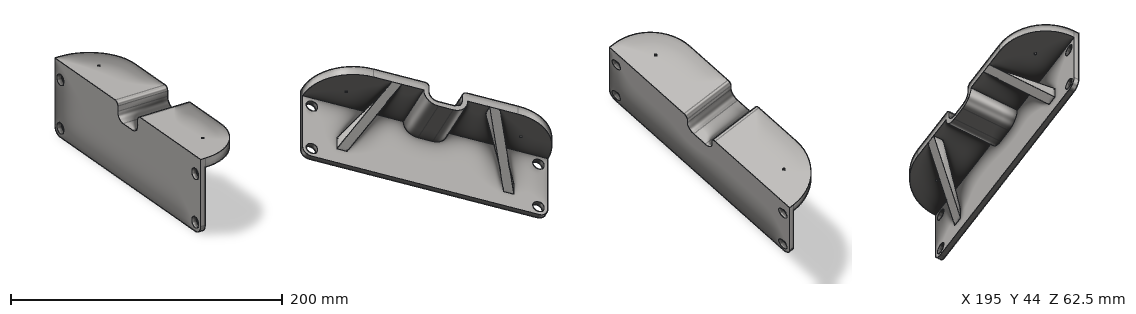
import cadquery as cq

length = 195.0
depth = 44.0
height = 62.5
wall_thickness = 4.0
shelf_thickness = 7.6
shelf_corner_radius = depth - wall_thickness
plate_corner_radius = 7.0

screw_hole_diameter = 9.0
screw_hole_inset = 7.5
upper_hole_drop = 15.0

pilot_hole_diameter = 1.8
pilot_hole_spacing = 138.8
pilot_hole_y = 20.3

channel_width = 26.5
channel_depth = 15.0
channel_floor_radius = 7.0
channel_lip_radius = 3.5
trough_wall = 4.3
trough_corner_radius = channel_depth + trough_wall - shelf_thickness

strut_width = 8.2
strut_top_x = 39.0
strut_top_length = 8.2
strut_foot_x = 66.3
strut_foot_height = 10.1
strut_foot_z = -44.5


def make_wall_plate():
    return (
        cq.Workplane("XY")
        .box(length, wall_thickness, height, centered=(True, False, False))
        .translate((0, 0, -height))
        .edges("|Y and <Z")
        .fillet(plate_corner_radius)
    )


def make_shelf():
    return (
        cq.Workplane("XY")
        .box(length, depth, shelf_thickness, centered=(True, False, False))
        .translate((0, 0, -shelf_thickness))
        .edges("|Z and >Y")
        .fillet(shelf_corner_radius)
    )


def make_trough():
    return (
        cq.Workplane("XY")
        .box(
            channel_width + 2 * trough_wall,
            depth,
            channel_depth + trough_wall,
            centered=(True, False, False),
        )
        .translate((0, 0, -channel_depth - trough_wall))
        .edges("|Y and <Z")
        .fillet(trough_corner_radius)
    )


def make_strut(side):
    """Ruled loft between rectangles on the shelf and the wall plate; side is -1 or 1."""
    half_width = strut_width / 2
    top_x = side * strut_top_x
    foot_x = side * strut_foot_x
    inner_y = depth - strut_top_length
    lower_z = strut_foot_z - strut_foot_height / 2
    upper_z = strut_foot_z + strut_foot_height / 2
    top_corners = [
        cq.Vector(top_x - half_width, depth, -shelf_thickness),
        cq.Vector(top_x + half_width, depth, -shelf_thickness),
        cq.Vector(top_x + half_width, inner_y, -shelf_thickness),
        cq.Vector(top_x - half_width, inner_y, -shelf_thickness),
    ]
    foot_corners = [
        cq.Vector(foot_x - half_width, wall_thickness, lower_z),
        cq.Vector(foot_x + half_width, wall_thickness, lower_z),
        cq.Vector(foot_x + half_width, wall_thickness, upper_z),
        cq.Vector(foot_x - half_width, wall_thickness, upper_z),
    ]
    top = cq.Wire.makePolygon(top_corners, close=True)
    foot = cq.Wire.makePolygon(foot_corners, close=True)
    return cq.Workplane(cq.Solid.makeLoft([foot, top], True))


def make_channel_cut():
    """Channel with rounded floor corners and outward-rounded lips."""
    half_width = channel_width / 2
    lip_edge = half_width + channel_lip_radius
    floor_edge = half_width - channel_floor_radius
    floor_arc_z = channel_floor_radius - channel_depth
    return (
        cq.Workplane("XZ")
        .moveTo(-lip_edge, 0)
        .radiusArc((-half_width, -channel_lip_radius), channel_lip_radius)
        .lineTo(-half_width, floor_arc_z)
        .radiusArc((-floor_edge, -channel_depth), -channel_floor_radius)
        .lineTo(floor_edge, -channel_depth)
        .radiusArc((half_width, floor_arc_z), -channel_floor_radius)
        .lineTo(half_width, -channel_lip_radius)
        .radiusArc((lip_edge, 0), channel_lip_radius)
        .close()
        .extrude(-depth)
    )


def make_screw_holes():
    hole_x = length / 2 - screw_hole_inset
    hole_heights = (-upper_hole_drop, screw_hole_inset - height)
    return (
        cq.Workplane("XZ")
        .pushPoints([(x, z) for x in (-hole_x, hole_x) for z in hole_heights])
        .circle(screw_hole_diameter / 2)
        .extrude(-wall_thickness)
    )


def make_pilot_holes():
    hole_x = pilot_hole_spacing / 2
    return (
        cq.Workplane("XY")
        .pushPoints([(-hole_x, pilot_hole_y), (hole_x, pilot_hole_y)])
        .circle(pilot_hole_diameter / 2)
        .extrude(-shelf_thickness)
    )


body = make_wall_plate().union(make_shelf()).union(make_trough())
for side in (-1, 1):
    body = body.union(make_strut(side))

result = body.cut(make_channel_cut()).cut(make_screw_holes()).cut(make_pilot_holes())